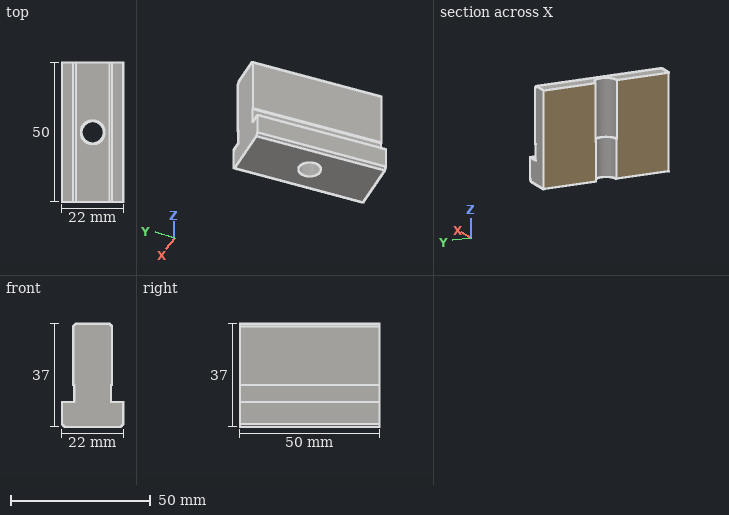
import cadquery as cq

length = 50.0
base_width = 22.0
total_height = 37.0

base_height = 9.0
neck_width = 13.2
neck_height = 6.0
stem_width = 14.0
edge_chamfer = 1.0

hole_diameter = 8.0
bore_diameter = 8.5
bore_depth = total_height - base_height - neck_height


def centred_bar(width, bottom, top):
    """Full-length bar centred on X and Y between two heights."""
    return (
        cq.Workplane("XY", origin=(0, 0, bottom))
        .rect(width, length)
        .extrude(top - bottom)
    )


def make_base():
    """Wide foot with its lower long edges chamfered."""
    bar = centred_bar(base_width, 0, base_height)
    return bar.faces("<Z").edges("|Y").chamfer(edge_chamfer)


def make_neck():
    """Relief between the foot and the stem."""
    return centred_bar(neck_width, base_height, base_height + neck_height)


def make_stem():
    """Tall guide with its upper long edges chamfered."""
    bar = centred_bar(stem_width, base_height + neck_height, total_height)
    return bar.faces(">Z").edges("|Y").chamfer(edge_chamfer)


def cut_hole(body):
    """Through hole with a slightly wider bore from the top."""
    top_plane = body.faces(">Z").workplane(origin=(0, 0, total_height))
    return top_plane.cboreHole(hole_diameter, bore_diameter, bore_depth)


block = make_base().union(make_neck()).union(make_stem())
result = cut_hole(block)